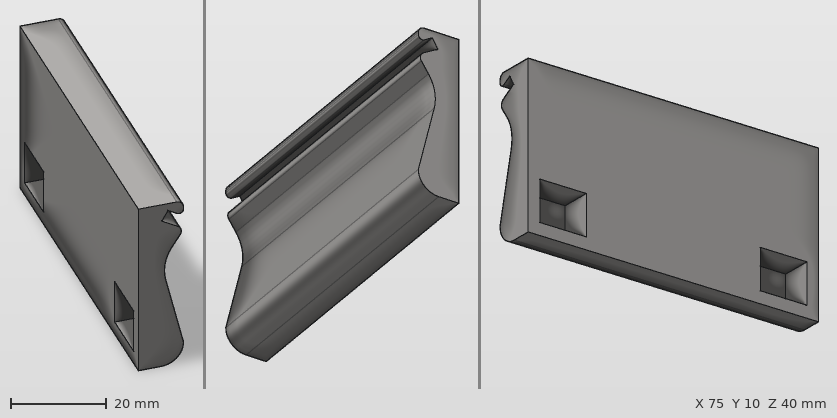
import cadquery as cq
import math

length = 75.0
thickness = 10.0
height = 40.0

lip_top_radius = 1.5
lip_bottom_radius = 1.0
lip_depth = 3.0
notch_angle = math.radians(30)
notch_mouth_y = 6.5
notch_floor_width = 2.7

nose_y = 10.1
nose_drop = 6.9
nose_radius = 1.5
throat_y = 5.0
throat_drop = 14.5
throat_radius = 10.0
heel_radius = 5.0

pocket_width = 12.0
pocket_height = 10.0
pocket_depth = 7.5
pocket_margin = 3.0


def polar(center, radius, angle):
    """Point on a circle in the YZ plane."""
    return (center[0] + radius * math.cos(angle), center[1] + radius * math.sin(angle))


lip_top_center = (thickness - lip_top_radius, height - lip_top_radius)
lip_bottom_center = (thickness - lip_bottom_radius, height - lip_depth + lip_bottom_radius)
underside_angle = -math.pi / 2 - notch_angle
lip_top_middle = polar(lip_top_center, lip_top_radius, math.pi / 4)
lip_bottom_middle = polar(lip_bottom_center, lip_bottom_radius, underside_angle / 2)
lip_end = polar(lip_bottom_center, lip_bottom_radius, underside_angle)

notch_top = (notch_mouth_y, lip_end[1] + (lip_end[0] - notch_mouth_y) * math.tan(notch_angle))
notch_bottom = polar(notch_top, notch_floor_width, underside_angle)

heel_center = (thickness - heel_radius, heel_radius)
heel_middle = polar(heel_center, heel_radius, -math.pi / 4)
nose = (nose_y, height - nose_drop)
throat = (throat_y, height - throat_drop)

body = (
    cq.Workplane("YZ")
    .moveTo(0, 0)
    .lineTo(0, height)
    .lineTo(lip_top_center[0], height)
    .threePointArc(lip_top_middle, (thickness, lip_top_center[1]))
    .lineTo(thickness, lip_bottom_center[1])
    .threePointArc(lip_bottom_middle, lip_end)
    .lineTo(*notch_top)
    .lineTo(*notch_bottom)
    .lineTo(*nose)
    .lineTo(*throat)
    .lineTo(thickness, heel_center[1])
    .threePointArc(heel_middle, (heel_center[0], 0))
    .close()
    .extrude(length)
)


def round_edge(solid, corner, radius):
    """Round the lengthwise edge that passes through a profile corner."""
    edge = cq.selectors.NearestToPointSelector((length / 2, *corner))
    return solid.edges(edge).fillet(radius)


body = round_edge(body, nose, nose_radius)
body = round_edge(body, throat, throat_radius)

for pocket_x in (pocket_margin, length - pocket_margin - pocket_width):
    pocket = cq.Workplane("XY").box(pocket_width, pocket_depth, pocket_height, centered=False)
    body = body.cut(pocket.translate((pocket_x, 0, pocket_margin)))

result = body